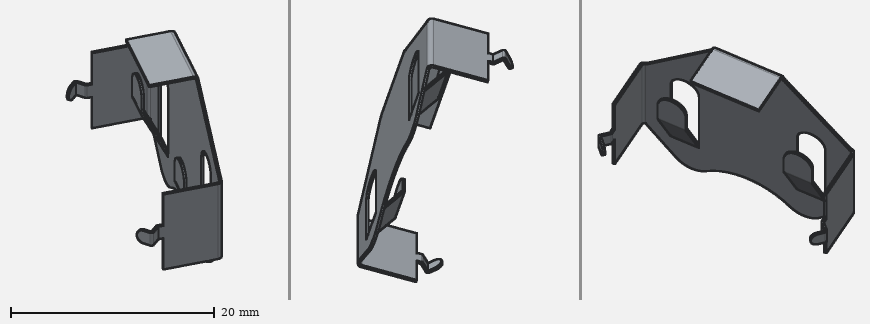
import cadquery as cq
import math


thickness = 0.25
flange_inner_radius = 0.28
flange_outer_radius = flange_inner_radius + thickness

overall_height = 20.8
overall_half_width = 12.74
overall_depth = 8.8

top_flange_width = 7.65
top_flange_reach = 5.1

wall_half_width = 11.95
wall_height = 9.37
wall_center_z = 8.75
wall_reach = 6.16

leg_width = 1.58
leg_bend_y = 6.67
leg_angle = 45

foot_offset = 6.25
foot_radius = 2.55
notch_height = 2.15

tongue_offset = 7.05
tongue_width = 3.15
slot_bottom = 3.77
slot_top = 13.45
tongue_top = 13.27
tongue_fold_z = 9.68
tongue_reach = 3.0

plate_half_width = wall_half_width - flange_outer_radius
plate_top = overall_height - flange_outer_radius
wall_bottom = wall_center_z - wall_height / 2
wall_top = wall_center_z + wall_height / 2


def polar(center, radius, angle):
    """Point at a distance and direction (degrees) from a center."""
    a = math.radians(angle)
    return (center[0] + radius * math.cos(a), center[1] + radius * math.sin(a))


def folded_strip(workplane, start, heading, folds, width):
    """Sheet strip starting at the left corner `start` of its edge and running along `heading`.

    Each fold is (inner radius, turn in degrees with left positive, straight length after it).
    The profile lies in `workplane` and is extruded by `width`.
    """
    left = start
    right = polar(left, thickness, heading - 90)
    profile = workplane.moveTo(*right).lineTo(*left)
    right_edges = []
    for inner_radius, turn, length in folds:
        if turn:
            side = math.copysign(90, turn)
            inner = left if turn > 0 else right
            center = polar(inner, inner_radius, heading + side)
            left_radius = inner_radius if turn > 0 else inner_radius + thickness
            right_radius = 2 * inner_radius + thickness - left_radius
            middle = heading - side + turn / 2
            heading += turn
            left = polar(center, left_radius, heading - side)
            if left_radius:
                profile = profile.threePointArc(polar(center, left_radius, middle), left)
            if right_radius:
                right_edges.append((right, polar(center, right_radius, middle)))
            right = polar(center, right_radius, heading - side)
        if length:
            right_edges.append((right, None))
            left = polar(left, length, heading)
            right = polar(right, length, heading)
            profile = profile.lineTo(*left)
    profile = profile.lineTo(*right)
    for end, arc_middle in reversed(right_edges):
        if arc_middle:
            profile = profile.threePointArc(arc_middle, end)
        else:
            profile = profile.lineTo(*end)
    return profile.close().extrude(width)


def both_sides(body):
    """Body together with its mirror image about X = 0."""
    return body.union(body.mirror("YZ"))


def arch(bottom, top, front, depth):
    """Round-topped block of tongue width, reaching backward by `depth` from Y = front."""
    radius = tongue_width / 2
    return (
        cq.Workplane("XZ", origin=(tongue_offset, front, 0))
        .moveTo(-radius, bottom)
        .lineTo(radius, bottom)
        .lineTo(radius, top - radius)
        .threePointArc((0, top), (-radius, top - radius))
        .close()
        .extrude(-depth)
    )


def back_plate():
    notch_radius = (foot_offset**2 / notch_height + notch_height) / 2 - foot_radius
    notch_center = (0, notch_height - notch_radius)
    foot_center = (foot_offset, foot_radius)

    notch_angle = math.degrees(math.atan2(notch_center[1] - foot_radius, -foot_offset))
    corner_x = plate_half_width - foot_offset
    corner_z = wall_bottom - foot_radius
    corner_angle = math.degrees(math.atan2(corner_z, corner_x))
    tangent_angle = corner_angle - math.degrees(math.acos(foot_radius / math.hypot(corner_x, corner_z)))

    foot_outer = polar(foot_center, foot_radius, tangent_angle)
    foot_inner = polar(foot_center, foot_radius, notch_angle)
    notch_middle_angle = (90 + notch_angle + 180) / 2
    half = (
        cq.Workplane("XZ")
        .moveTo(0, plate_top)
        .lineTo(top_flange_width / 2, plate_top)
        .lineTo(plate_half_width, wall_top)
        .lineTo(plate_half_width, wall_bottom)
        .lineTo(*foot_outer)
        .threePointArc((foot_offset, 0), foot_inner)
        .threePointArc(polar(notch_center, notch_radius, notch_middle_angle), (0, notch_height))
        .close()
        .extrude(thickness)
    )
    slot = arch(slot_bottom, slot_top, -thickness, thickness)
    return both_sides(half.cut(slot))


def top_flange():
    folds = [(flange_inner_radius, 90, top_flange_reach - flange_outer_radius)]
    workplane = cq.Workplane("YZ", origin=(-top_flange_width / 2, 0, 0))
    return folded_strip(workplane, (-thickness, plate_top), 90, folds, top_flange_width)


def side_wall():
    folds = [(flange_inner_radius, -90, wall_reach - flange_outer_radius)]
    workplane = cq.Workplane("XY", origin=(0, 0, wall_bottom))
    return folded_strip(workplane, (plate_half_width, 0), 0, folds, wall_height)


def hooked_leg():
    sine = math.sin(math.radians(leg_angle))
    cosine = math.cos(math.radians(leg_angle))
    arm_start_x = wall_half_width - thickness * cosine
    elbow_x = overall_half_width - thickness
    outward_length = (elbow_x - arm_start_x) / sine
    elbow_y = leg_bend_y + thickness * sine + outward_length * cosine
    inward_length = (overall_depth - elbow_y - thickness * sine) / cosine

    folds = [
        (0, 0, leg_bend_y - wall_reach),
        (0, leg_angle, outward_length),
        (0, -2 * leg_angle, inward_length),
    ]
    workplane = cq.Workplane("XY", origin=(0, 0, wall_center_z - leg_width / 2))
    leg = folded_strip(workplane, (wall_half_width, -wall_reach), -90, folds, leg_width)

    tip_radius = leg_width / 2
    to_tip_center = inward_length - tip_radius
    tip_plane = cq.Plane(
        origin=(elbow_x - to_tip_center * sine, -elbow_y - to_tip_center * cosine, wall_center_z),
        xDir=(-sine, -cosine, 0),
        normal=(cosine, -sine, 0),
    )
    tip_round = cq.Workplane(tip_plane).circle(tip_radius).extrude(thickness)
    tip_block = cq.Workplane(tip_plane).center(tip_radius / 2, 0).rect(tip_radius, leg_width).extrude(thickness)
    return leg.cut(tip_block.cut(tip_round))


def tongue():
    pad_back = tongue_reach - thickness
    run = pad_back - thickness
    rise = tongue_fold_z - slot_bottom
    ramp_length = math.sqrt(run**2 + rise**2 - thickness**2)
    ramp_angle = math.degrees(math.atan2(run, rise) + math.atan2(thickness, ramp_length))

    folds = [(0, ramp_angle, ramp_length), (0, -ramp_angle, 0)]
    workplane = cq.Workplane("YZ", origin=(tongue_offset - tongue_width / 2, 0, 0))
    ramp = folded_strip(workplane, (-thickness, slot_bottom), 90, folds, tongue_width)
    pad = arch(tongue_fold_z, tongue_top, -tongue_reach, thickness)
    return ramp.union(pad)


result = back_plate().union(top_flange())
for feature in (side_wall(), hooked_leg(), tongue()):
    result = result.union(both_sides(feature))